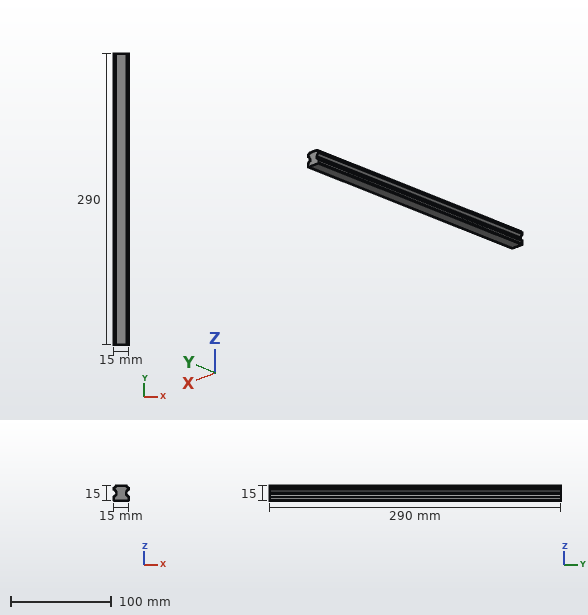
import cadquery as cq
import math

length = 290.0
width = 15.0
height = 15.0
half_width = width / 2

foot_chamfer = 0.6
foot_side_top = 3.8

half_waist = 4.8
waist_bottom = 6.5
waist_top = 8.0

half_lower_groove_bottom = 5.3
lower_groove_bottom = 8.9
half_lower_groove_top = 6.9
lower_groove_top = 11.0

land_bottom = 11.4
land_top = 12.7

half_upper_groove_bottom = 6.7
upper_groove_bottom = 13.2
half_upper_groove_top = 5.3
upper_groove_top = 14.75
half_top_flat = 5.05

groove_depth = 0.3


def groove_middle(start, end):
    """Middle point of a concave arc from start to end, sunk to the left of its chord."""
    dx = end[0] - start[0]
    dz = end[1] - start[1]
    chord = math.hypot(dx, dz)
    mid_x = (start[0] + end[0]) / 2
    mid_z = (start[1] + end[1]) / 2
    return (mid_x - groove_depth * dz / chord, mid_z + groove_depth * dx / chord)


def half_rail():
    """Right half of the profile, extruded along Y and centred on Y = 0."""
    lower_start = (half_lower_groove_bottom, lower_groove_bottom)
    lower_end = (half_lower_groove_top, lower_groove_top)
    upper_start = (half_upper_groove_bottom, upper_groove_bottom)
    upper_end = (half_upper_groove_top, upper_groove_top)
    profile = (
        cq.Workplane("XZ")
        .lineTo(half_width - foot_chamfer, 0)
        .lineTo(half_width, foot_chamfer)
        .lineTo(half_width, foot_side_top)
        .lineTo(half_waist, waist_bottom)
        .lineTo(half_waist, waist_top)
        .lineTo(*lower_start)
        .threePointArc(groove_middle(lower_start, lower_end), lower_end)
        .lineTo(half_width, land_bottom)
        .lineTo(half_width, land_top)
        .lineTo(*upper_start)
        .threePointArc(groove_middle(upper_start, upper_end), upper_end)
        .lineTo(half_top_flat, height)
        .lineTo(0, height)
        .close()
    )
    return profile.extrude(length / 2, both=True)


def rail():
    """Both mirrored halves joined into one bar."""
    right = half_rail()
    return right.union(right.mirror("YZ")).clean()


result = rail()